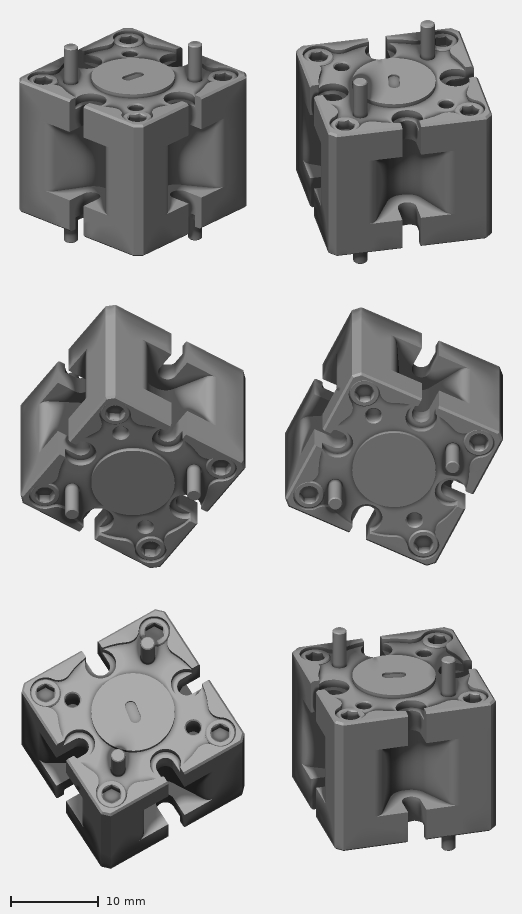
import cadquery as cq
import math

side = 19.05
block_height = 16.6
half_side = side / 2
half_height = block_height / 2
corner_chamfer = 0.8
rim_chamfer = 0.25

recess_depth = 0.51
recess_radius = 8.57
recess_blend = 1.5
disc_radius = 4.75

slot_width = 2.15
slot_offset = 7.13
seat_radius = 1.8
seat_depth = 1.47

window_height = 8.62
window_width = 10.0
window_floor_width = 0.42
window_mouth_radius = 1.2
window_inner_radius = 2.0
window_depth = 5.1
window_wall_angle = 60

screw_offset = 7.22
screw_pocket_radius = 1.8
screw_head_radius = 1.75
screw_head_rise = 0.22
screw_head_chamfer = 0.15
socket_across_corners = 2.3
socket_depth = 1.22
socket_mouth_depth = 0.15

dowel_offset = 5.0
pin_diameter = 1.62
pin_tip_chamfer = 0.12
pin_length = 7.84
total_height = 24.5
hole_diameter = 1.71
hole_depth = 3.43
pin_mouth_chamfer = 0.1
hole_mouth_chamfer = 0.15

mark_length = 2.8
mark_width = 1.3
mark_angle = 80
mark_depth = 0.25

recess_floor = half_height - recess_depth
pin_bottom = total_height / 2 - pin_length
corner_angles = [45, 135, 225, 315]
pin_angles = [45, 225]
hole_angles = [135, 315]
side_angles = [0, 90, 180, 270]


def polar(radius, angle):
    a = math.radians(angle)
    return (radius * math.cos(a), radius * math.sin(a))


def turned(body, angle):
    return body.rotate((0, 0, 0), (0, 0, 1), angle)


def both_faces(body):
    """Return the body together with its mirror image below the mid plane."""
    return body.union(body.mirror("XY"))


def diagonal_points(offset, angles):
    return [polar(offset * math.sqrt(2), angle) for angle in angles]


def make_block():
    block = cq.Workplane("XY").box(side, side, block_height)
    block = block.edges("|Z").chamfer(corner_chamfer)
    return block.faces("<Z or >Z").edges().chamfer(rim_chamfer)


def make_recess():
    """A round recess blended into a round pocket at each corner, around a raised disc."""
    corner_distance = screw_offset * math.sqrt(2)
    blend_distance = recess_radius + recess_blend
    pocket_reach = screw_pocket_radius + recess_blend
    blend_angle = math.degrees(math.acos(
        (blend_distance**2 + corner_distance**2 - pocket_reach**2)
        / (2 * blend_distance * corner_distance)))
    blend_sweep = math.degrees(math.acos(
        (blend_distance**2 + pocket_reach**2 - corner_distance**2)
        / (2 * blend_distance * pocket_reach)))

    def blend_point(corner, side_sign, sweep):
        """Point on a blend arc, swept from the recess circle towards the corner pocket."""
        angle = corner + side_sign * blend_angle
        cx, cy = polar(blend_distance, angle)
        dx, dy = polar(recess_blend, angle + 180 + side_sign * sweep)
        return (cx + dx, cy + dy)

    outline = cq.Workplane("XY").workplane(offset=recess_floor)
    outline = outline.moveTo(*blend_point(corner_angles[0], -1, 0))
    for corner in corner_angles:
        outline = (
            outline
            .threePointArc(blend_point(corner, -1, blend_sweep / 2), blend_point(corner, -1, blend_sweep))
            .threePointArc(polar(corner_distance + screw_pocket_radius, corner),
                           blend_point(corner, 1, blend_sweep))
            .threePointArc(blend_point(corner, 1, blend_sweep / 2), blend_point(corner, 1, 0))
            .threePointArc(polar(recess_radius, corner + 45), blend_point(corner + 90, -1, 0))
        )
    recess = outline.close().extrude(recess_depth)
    disc = cq.Workplane("XY").workplane(offset=recess_floor).circle(disc_radius).extrude(recess_depth)
    return recess.cut(disc)


def make_edge_slot():
    slot = cq.Workplane("XY").center(slot_offset, 0).circle(slot_width / 2).extrude(block_height)
    run = cq.Workplane("XY").box(side, slot_width, block_height, centered=(False, True, False))
    slot = slot.union(run.translate((slot_offset, 0, 0))).translate((0, 0, -half_height))
    seat = (cq.Workplane("XY").workplane(offset=half_height - seat_depth)
            .center(slot_offset, 0).circle(seat_radius).extrude(seat_depth))
    return slot.union(both_faces(seat))


def make_window():
    """A V shaped pocket in the +X side with a rounded mouth and a rounded floor."""
    a = math.radians(window_wall_angle)
    half_a = a / 2
    mouth = (half_side, window_width / 2)
    mouth_mid = (half_side - window_mouth_radius * (1 - math.cos(half_a)),
                 mouth[1] - window_mouth_radius * math.sin(half_a))
    wall_start = (half_side - window_mouth_radius * (1 - math.cos(a)),
                  mouth[1] - window_mouth_radius * math.sin(a))
    floor_x = half_side - window_depth
    floor_y = window_floor_width / 2
    wall_end = (floor_x + window_inner_radius * (1 - math.cos(a)),
                floor_y + window_inner_radius * math.sin(a))
    floor_mid = (floor_x + window_inner_radius * (1 - math.cos(half_a)),
                 floor_y + window_inner_radius * math.sin(half_a))
    half = (cq.Workplane("XY").workplane(offset=-window_height / 2)
            .moveTo(floor_x, 0).lineTo(floor_x, floor_y)
            .threePointArc(floor_mid, wall_end).lineTo(*wall_start)
            .threePointArc(mouth_mid, mouth).lineTo(half_side, 0)
            .close().extrude(window_height))
    return half.union(half.mirror("XZ"))


def make_dowel_holes(diameter, bottom, chamfer, angles):
    """Blind holes from the recess floor down to a given height, each with a conical mouth."""
    points = diagonal_points(dowel_offset, angles)
    floor_plane = cq.Workplane("XY").workplane(offset=recess_floor).pushPoints(points)
    holes = floor_plane.circle(diameter / 2).extrude(bottom - recess_floor)
    mouths = floor_plane.circle(diameter / 2 + chamfer).extrude(-chamfer, taper=45)
    return holes.union(mouths)


def make_screw_heads():
    heads = (cq.Workplane("XY").workplane(offset=recess_floor)
             .pushPoints(diagonal_points(screw_offset, corner_angles))
             .circle(screw_head_radius).extrude(screw_head_rise))
    return heads.faces(">Z").edges().chamfer(screw_head_chamfer)


def make_screw_sockets():
    top_plane = (cq.Workplane("XY").workplane(offset=recess_floor + screw_head_rise)
                 .pushPoints(diagonal_points(screw_offset, corner_angles)))
    sockets = top_plane.polygon(6, socket_across_corners).extrude(-socket_depth)
    mouths = top_plane.circle(socket_across_corners / 2).extrude(-socket_mouth_depth, taper=45)
    return sockets.union(mouths)


def make_mark():
    return (cq.Workplane("XY").workplane(offset=half_height)
            .transformed(rotate=(0, 0, mark_angle))
            .slot2D(mark_length, mark_width).extrude(-mark_depth))


def make_housing():
    housing = make_block().cut(both_faces(make_recess()))
    for angle in side_angles:
        housing = housing.cut(turned(make_edge_slot(), angle)).cut(turned(make_window(), angle))
    pin_holes = make_dowel_holes(pin_diameter, pin_bottom, pin_mouth_chamfer, pin_angles)
    free_holes = make_dowel_holes(hole_diameter, recess_floor - hole_depth, hole_mouth_chamfer, hole_angles)
    housing = housing.cut(both_faces(pin_holes)).cut(both_faces(free_holes))
    housing = housing.union(both_faces(make_screw_heads())).cut(both_faces(make_screw_sockets()))
    return housing.cut(make_mark())


def make_pin(position):
    pin = cq.Workplane("XY").workplane(offset=pin_bottom).center(*position)
    pin = pin.circle(pin_diameter / 2).extrude(pin_length)
    return pin.faces(">Z").edges().chamfer(pin_tip_chamfer)


housing = make_housing()
pins = []
for position in diagonal_points(dowel_offset, pin_angles):
    top_pin = make_pin(position)
    pins.append(top_pin.val())
    pins.append(top_pin.mirror("XY").val())
result = cq.Compound.makeCompound([housing.val(), *pins])